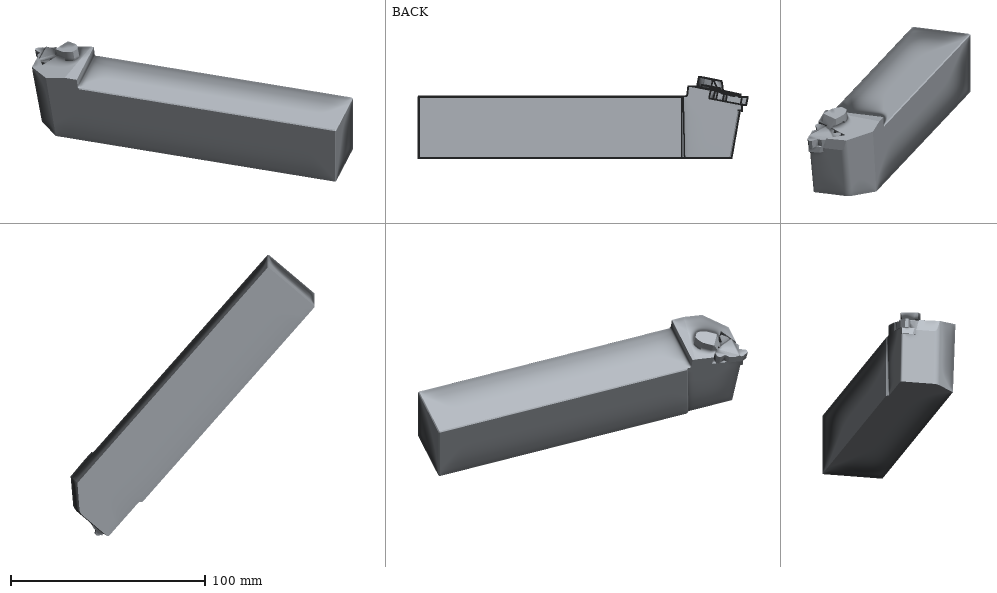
import cadquery as cq
import math

LENGTH = 170.0
SHANK = 32.0
EDGE_BREAK = 0.5

HEAD_TOP = 37.0
HEAD_BACK_TOP = 30.8
HEAD_BACK_FOOT = 31.3
STEP_FILLET = 0.8
SHANK_FRONT_X = HEAD_BACK_FOOT + STEP_FILLET

HINGE_X = 24.3
HINGE_SKEW = 9.0
TOP_SLOPE = 11.0

NOSE_X = 3.5
FRONT_FOOT_X = 8.3
FRONT_RELIEF = 10.0
CORNER_CUT_X = 19.5
CORNER_ANGLE = 45.0
CORNER_RELIEF = 6.2
CORNER_FILLET = 4.8
SIDE_FILLET = 1.0

SIDE_FOOT_Y = 30.6
SIDE_RELIEF = 1.3
SIDE_RELIEF_END = 34.0

INSERT_X = 8.7
INSERT_HALF_CORNER = 30.0
INSERT_INRADIUS = 6.3
INSERT_SIDE_GAP = 0.07
INSERT_Y = SHANK - INSERT_SIDE_GAP - INSERT_INRADIUS
INSERT_THICKNESS = 4.5
SHIM_THICKNESS = 3.2
SHIM_FRONT_X = 2.9

TIP_TURNS = (0, -120, -240)
TIP_REACH = 8.8
TIP_OFFSET = 3.7
TIP_FLAT = 1.7
TIP_HALF_ANGLE = 30.0
TIP_ROOT = 5.5
NECK_OFFSET = -1.5
NOTCH_TOP = 3.4
NOTCH_FOOT = 4.6
NOTCH_DEPTH = 0.8

CLAMP_X = 20.0
CLAMP_Y = 22.1
CLAMP_ANGLE = -30.0
CLAMP_TOP = 5.3
CLAMP_UNDERSIDE = 1.5
CLAMP_HALF_WIDTH = 4.6
CLAMP_NOSE = -7.3
CLAMP_NOSE_HALF_WIDTH = 2.5
CLAMP_SHOULDER = -3.7
CLAMP_ROUND_START = 1.4
CLAMP_REAR = 6.3
CLAMP_REAR_HALF_WIDTH = 1.7
CLAMP_REAR_SAG = 0.8
CLAMP_NOSE_SLANT = 3.2
CLAMP_NOSE_PAD = 1.9
CLAMP_PAD_SIDE = 0.5
CLAMP_HEEL = 2.0
CLAMP_ROOT = -0.5

BIG = 3 * LENGTH


def sin(degrees):
    return math.sin(math.radians(degrees))


def cos(degrees):
    return math.cos(math.radians(degrees))


def tan(degrees):
    return math.tan(math.radians(degrees))


def half_space(point, normal):
    """Block covering everything on the normal's side of a plane."""
    return cq.Workplane(cq.Plane(origin=point, normal=normal)).rect(BIG, BIG).extrude(BIG)


SLOPE_NORMAL = (-sin(TOP_SLOPE) * cos(HINGE_SKEW), sin(TOP_SLOPE) * sin(HINGE_SKEW), cos(TOP_SLOPE))


def slope_plane(x, y, turn=0.0):
    """Workplane on the sloped top over (x, y), its x axis turned by an angle about Z."""
    downhill = (HINGE_X + y * tan(HINGE_SKEW) - x) * cos(HINGE_SKEW)
    z = HEAD_TOP - downhill * tan(TOP_SLOPE)
    nx, ny, nz = SLOPE_NORMAL
    rise = -(nx * cos(turn) + ny * sin(turn)) / nz
    return cq.Plane(origin=(x, y, z), xDir=(cos(turn), sin(turn), rise), normal=SLOPE_NORMAL)


INSERT_PLANE = slope_plane(INSERT_X, INSERT_Y)


def make_shank():
    """Square bar with broken edges along the top and around the rear end."""
    bar = cq.Workplane("XY").box(LENGTH - SHANK_FRONT_X, SHANK, SHANK, centered=False)
    bar = bar.translate((SHANK_FRONT_X, 0, 0))
    bar = bar.faces(">X").edges("|Z").chamfer(EDGE_BREAK)
    bar = bar.faces(">Z").edges("not <X").chamfer(EDGE_BREAK)
    return bar.cut(side_relief())


def side_relief():
    """Leaning +Y cut along the head that runs out into the shank at 45 degrees."""
    lean = half_space((0, SIDE_FOOT_Y, 0), (0, cos(SIDE_RELIEF), -sin(SIDE_RELIEF)))
    run_out = half_space((SIDE_RELIEF_END, SHANK, 0), (-1, 1, 0))
    return lean.intersect(run_out)


def make_head():
    """Head with its relieved sides, blended corners, upright nose and sloped top."""
    block = (
        cq.Workplane("XZ")
        .lineTo(SHANK_FRONT_X, 0)
        .lineTo(SHANK_FRONT_X, SHANK)
        .radiusArc((HEAD_BACK_FOOT, SHANK + STEP_FILLET), STEP_FILLET)
        .lineTo(HEAD_BACK_TOP, HEAD_TOP)
        .lineTo(0, HEAD_TOP)
        .close()
        .extrude(-SHANK)
    )
    flat = cos(CORNER_RELIEF) * cos(CORNER_ANGLE)
    front = half_space((FRONT_FOOT_X, 0, 0), (-cos(FRONT_RELIEF), 0, -sin(FRONT_RELIEF)))
    corner = half_space((CORNER_CUT_X, 0, 0), (-flat, -flat, -sin(CORNER_RELIEF)))
    head = block.cut(front).cut(corner).cut(side_relief())

    corner_edge = cq.NearestToPointSelector((FRONT_FOOT_X / 2, CORNER_CUT_X / 2, SHANK / 2))
    side_edge = cq.NearestToPointSelector((FRONT_FOOT_X / 2, SHANK, SHANK / 2))
    head = head.edges(corner_edge).fillet(CORNER_FILLET)
    head = head.edges(side_edge).fillet(SIDE_FILLET)

    nose = half_space((NOSE_X, 0, 0), (-1, 0, 0))
    sloped_top = half_space(INSERT_PLANE.origin.toTuple(), SLOPE_NORMAL)
    return head.cut(nose).cut(sloped_top)


def triangle(top, thickness):
    """Triangular prism of the insert's size, pointing to -Y, its top at a depth below the slope."""
    return (
        cq.Workplane(INSERT_PLANE)
        .workplane(offset=-top)
        .polygon(3, 4 * INSERT_INRADIUS)
        .extrude(-thickness)
        .rotate(INSERT_PLANE.origin, INSERT_PLANE.origin + INSERT_PLANE.zDir, -90)
    )


def make_shim():
    """Step under the insert, cut off square at the front."""
    front = half_space((SHIM_FRONT_X, 0, 0), (-1, 0, 0))
    return triangle(INSERT_THICKNESS, SHIM_THICKNESS).cut(front).cut(side_relief())


def insert_corner(turn):
    """Outline points of one threading tip, turned about the insert's centre."""
    flank = tan(TIP_HALF_ANGLE)
    neck_x = -(INSERT_INRADIUS + NECK_OFFSET * sin(INSERT_HALF_CORNER)) / cos(INSERT_HALF_CORNER)
    low = TIP_OFFSET - TIP_FLAT / 2
    high = TIP_OFFSET + TIP_FLAT / 2
    points = [
        (neck_x, NECK_OFFSET),
        (-TIP_ROOT, low - (TIP_REACH - TIP_ROOT) * flank),
        (-TIP_REACH, low),
        (-TIP_REACH, high),
        ((INSERT_INRADIUS - high) / flank - TIP_REACH, INSERT_INRADIUS),
    ]
    return [(x * cos(turn) - y * sin(turn), x * sin(turn) + y * cos(turn)) for x, y in points]


def chip_notch(turn):
    """Wedge that lowers the top of one tip, deepest at the wall of the raised triangle."""
    plane = slope_plane(INSERT_X, INSERT_Y, turn)
    side = cq.Plane(origin=plane.origin, xDir=plane.xDir, normal=plane.yDir * -1)
    return (
        cq.Workplane(side)
        .moveTo(-NOTCH_TOP, 0)
        .lineTo(-NOTCH_FOOT, -NOTCH_DEPTH)
        .lineTo(-TIP_REACH, 0)
        .close()
        .extrude(2 * TIP_REACH, both=True)
    )


def make_insert():
    """Three-tipped threading insert."""
    outline = [point for turn in TIP_TURNS for point in insert_corner(turn)]
    body = cq.Workplane(INSERT_PLANE).polyline(outline).close().extrude(-INSERT_THICKNESS)
    for turn in TIP_TURNS:
        body = body.cut(chip_notch(turn))
    return body


def make_clamp():
    """Clamp finger: round-ended plan, slanted nose, and a gap between the nose pad and the heel."""
    plane = slope_plane(CLAMP_X, CLAMP_Y, CLAMP_ANGLE)
    round_middle = (CLAMP_ROUND_START + CLAMP_REAR) / 2
    round_width = CLAMP_HALF_WIDTH - CLAMP_REAR_SAG
    finger = (
        cq.Workplane(plane)
        .workplane(offset=CLAMP_ROOT)
        .moveTo(CLAMP_NOSE, -CLAMP_NOSE_HALF_WIDTH)
        .lineTo(CLAMP_SHOULDER, -CLAMP_HALF_WIDTH)
        .lineTo(CLAMP_ROUND_START, -CLAMP_HALF_WIDTH)
        .threePointArc((round_middle, -round_width), (CLAMP_REAR, -CLAMP_REAR_HALF_WIDTH))
        .lineTo(CLAMP_REAR, CLAMP_REAR_HALF_WIDTH)
        .threePointArc((round_middle, round_width), (CLAMP_ROUND_START, CLAMP_HALF_WIDTH))
        .lineTo(CLAMP_SHOULDER, CLAMP_HALF_WIDTH)
        .lineTo(CLAMP_NOSE, CLAMP_NOSE_HALF_WIDTH)
        .close()
        .extrude(CLAMP_TOP - CLAMP_ROOT)
    )
    side = cq.Workplane(cq.Plane(origin=plane.origin, xDir=plane.xDir, normal=plane.yDir * -1))
    pad_end = CLAMP_NOSE + CLAMP_NOSE_PAD
    slant_end = CLAMP_NOSE + CLAMP_NOSE_SLANT
    slant = [(CLAMP_NOSE, 0), (CLAMP_NOSE, CLAMP_TOP), (slant_end, CLAMP_TOP)]
    underside = [
        (CLAMP_NOSE, CLAMP_ROOT),
        (CLAMP_NOSE, 0),
        (pad_end, 0),
        (pad_end, CLAMP_UNDERSIDE),
        (CLAMP_HEEL, CLAMP_UNDERSIDE),
        (CLAMP_HEEL, CLAMP_ROOT),
    ]
    for outline in (slant, underside):
        finger = finger.cut(side.polyline(outline).close().extrude(CLAMP_HALF_WIDTH, both=True))
    beside_pad = [(CLAMP_NOSE, 0), (pad_end, 0), (pad_end, CLAMP_UNDERSIDE), (CLAMP_NOSE, CLAMP_UNDERSIDE)]
    pad_side = side.workplane(offset=CLAMP_PAD_SIDE).polyline(beside_pad).close()
    return finger.cut(pad_side.extrude(-2 * CLAMP_HALF_WIDTH))


def make_holder():
    """Shank, head, shim and clamp in one piece, with the seat for the insert."""
    holder = make_shank().union(make_head())
    holder = holder.cut(triangle(0, INSERT_THICKNESS))
    return holder.union(make_shim()).union(make_clamp())


holder = make_holder()
insert = make_insert()
result = cq.Compound.makeCompound([holder.solids().val(), insert.solids().val()])